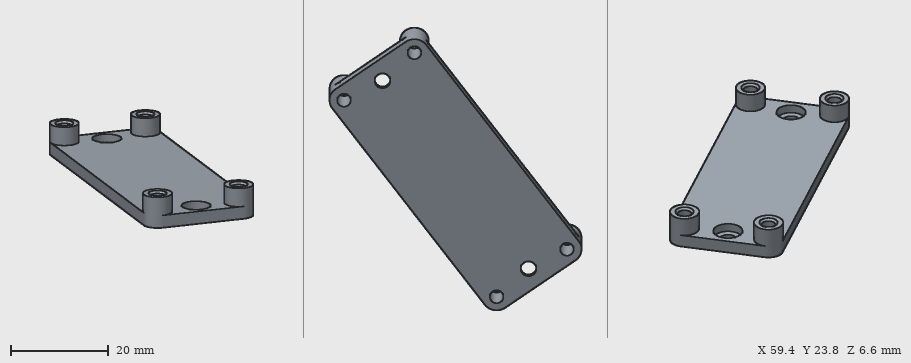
import cadquery as cq

length = 59.35
width = 23.8
plate_thickness = 2.65

total_height = 6.6
standoff_diameter = 6.0
standoff_hole_diameter = 2.8
standoff_hole_chamfer = 0.5
standoff_spacing_x = length - standoff_diameter
standoff_spacing_y = width - standoff_diameter

mount_spacing = 51.05
mount_hole_diameter = 3.2
counterbore_diameter = 6.0
counterbore_depth = 1.8


def make_plate():
    """Plate on Z = 0; its bevelled corners end inside the standoffs that round them."""
    plate = cq.Workplane("XY").rect(length, width).extrude(plate_thickness)
    return plate.edges("|Z").chamfer(standoff_diameter / 2)


def add_standoffs(body):
    """Add a full-height cylinder at each plate corner."""
    standoffs = (
        cq.Workplane("XY")
        .rect(standoff_spacing_x, standoff_spacing_y, forConstruction=True)
        .vertices()
        .circle(standoff_diameter / 2)
        .extrude(total_height)
    )
    return body.union(standoffs)


def cut_standoff_holes(body):
    """Drill through the standoffs with a 45 degree lead-in at the top."""
    mouth_diameter = standoff_hole_diameter + 2 * standoff_hole_chamfer
    return (
        body.copyWorkplane(cq.Workplane("XY", origin=(0, 0, total_height)))
        .rect(standoff_spacing_x, standoff_spacing_y, forConstruction=True)
        .vertices()
        .cskHole(standoff_hole_diameter, mouth_diameter, 90)
    )


def cut_mounting_holes(body):
    """Cut the two counterbored holes from the top face of the plate."""
    return (
        body.copyWorkplane(cq.Workplane("XY", origin=(0, 0, plate_thickness)))
        .pushPoints([(-mount_spacing / 2, 0), (mount_spacing / 2, 0)])
        .cboreHole(mount_hole_diameter, counterbore_diameter, counterbore_depth)
    )


result = make_plate()
result = add_standoffs(result)
result = cut_standoff_holes(result)
result = cut_mounting_holes(result)